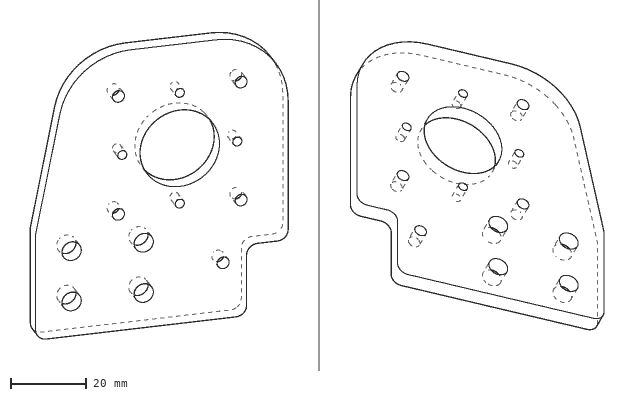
import cadquery as cq

thickness = 5.0
length = 70.0
height = 80.55

bore_to_edge = 30.05
back = bore_to_edge
top = bore_to_edge
front = back - length
bottom = top - height
slope_bottom = -20.0
slope_top_y = -bore_to_edge
notch_y = 18.5
notch_z = -bore_to_edge
large_radius = 20.0
small_radius = 3.0

bore_diameter = 22.0
face_hole_diameter = 2.5
face_hole_circle_radius = 15.95
corner_hole_diameter = 3.3
corner_hole_offset = 17.0
side_hole_position = (12.0, -34.5)
mount_hole_diameter = 5.3
mount_near_y = -10.0
mount_pitch_y = 20.0
mount_upper_z = -26.0
mount_pitch_z = 14.5


def plate_blank():
    outline = [
        (back, top),
        (slope_top_y, top),
        (front, slope_bottom),
        (front, bottom),
        (notch_y, bottom),
        (notch_y, notch_z),
        (back, notch_z),
    ]
    blank = cq.Workplane("YZ").polyline(outline).close().extrude(thickness)
    blank = blank.edges("|X").edges(">Z").fillet(large_radius)
    small_corners = cq.selectors.BoxSelector(
        (-thickness, front - 0.8, bottom - 0.8),
        (2 * thickness, back + 0.8, notch_z + 0.8),
    )
    return blank.edges("|X").edges(small_corners).fillet(small_radius)


def through_holes(points, diameter):
    return cq.Workplane("YZ").pushPoints(points).circle(diameter / 2).extrude(thickness)


face_holes = [
    (face_hole_circle_radius, 0),
    (-face_hole_circle_radius, 0),
    (0, face_hole_circle_radius),
    (0, -face_hole_circle_radius),
]
corner_holes = [
    (y_sign * corner_hole_offset, z_sign * corner_hole_offset)
    for y_sign in (-1, 1)
    for z_sign in (-1, 1)
]
mount_holes = [
    (mount_near_y - column * mount_pitch_y, mount_upper_z - row * mount_pitch_z)
    for column in range(2)
    for row in range(2)
]

result = plate_blank()
for points, diameter in (
    ([(0, 0)], bore_diameter),
    (face_holes, face_hole_diameter),
    (corner_holes + [side_hole_position], corner_hole_diameter),
    (mount_holes, mount_hole_diameter),
):
    result = result.cut(through_holes(points, diameter))